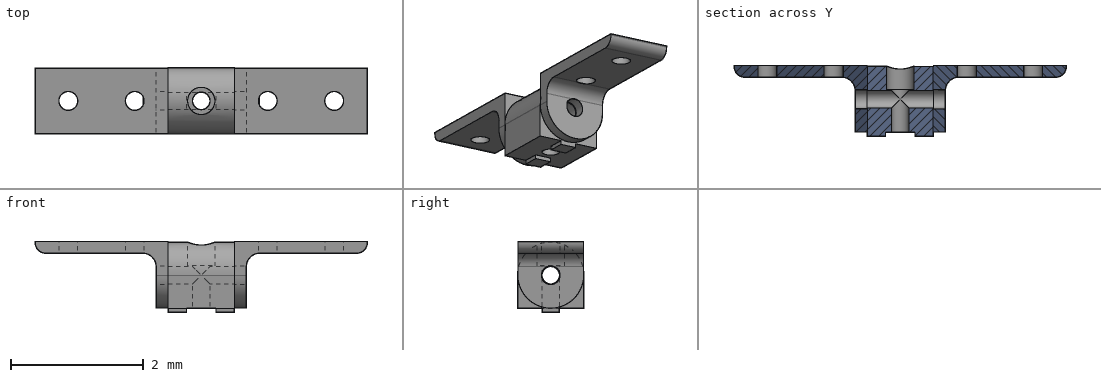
import cadquery as cq

total_length = 5.0

housing_length = 1.0
housing_width = 1.0
housing_bottom = -housing_width / 2
bore_diameter = 0.26
counterbore_diameter = 0.41
counterbore_floor = 0.15

tab_length = 0.28
tab_width = 0.26
tab_height = 0.06

arm_width = 0.99
arm_top = 0.51
arm_thickness = 0.18
inner_fillet = 0.2
tip_radius = 0.16
arm_hole_diameter = 0.28
arm_hole_positions = [1.0, 2.0]


def make_housing():
    """Square block with a half-round top, a lengthwise bore, a stepped vertical hole and two tabs."""
    radius = housing_width / 2
    half_length = housing_length / 2
    body = (
        cq.Workplane("YZ", origin=(-half_length, 0, 0))
        .moveTo(-radius, housing_bottom)
        .lineTo(radius, housing_bottom)
        .lineTo(radius, 0)
        .threePointArc((0, radius), (-radius, 0))
        .close()
        .extrude(housing_length)
    )

    tab_center = half_length - tab_length / 2
    for side in (-1, 1):
        tab = (
            cq.Workplane("XY", origin=(side * tab_center, 0, housing_bottom))
            .rect(tab_length, tab_width)
            .extrude(-tab_height)
        )
        body = body.union(tab)

    bore = cq.Workplane("YZ", origin=(-half_length, 0, 0)).circle(bore_diameter / 2).extrude(housing_length)

    vertical_hole = (
        cq.Workplane("XY", origin=(0, 0, housing_bottom)).circle(bore_diameter / 2).extrude(housing_width)
    )
    counterbore = (
        cq.Workplane("XY", origin=(0, 0, counterbore_floor))
        .circle(counterbore_diameter / 2)
        .extrude(radius - counterbore_floor)
    )
    return body.cut(bore).cut(vertical_hole).cut(counterbore)


def make_arm():
    """L-shaped bracket on the +X side: a round-bottomed flange with a perforated plate on top."""
    inner_x = housing_length / 2
    outer_x = inner_x + arm_thickness
    tip_x = total_length / 2
    plate_bottom = arm_top - arm_thickness
    half_width = arm_width / 2

    flange = (
        cq.Workplane("YZ", origin=(inner_x, 0, 0))
        .moveTo(-half_width, arm_top)
        .lineTo(-half_width, 0)
        .threePointArc((0, -half_width), (half_width, 0))
        .lineTo(half_width, arm_top)
        .close()
        .extrude(arm_thickness)
    )

    plate = (
        cq.Workplane("XZ", origin=(0, half_width, 0))
        .moveTo(inner_x, arm_top)
        .lineTo(tip_x, arm_top)
        .lineTo(tip_x, plate_bottom + tip_radius)
        .radiusArc((tip_x - tip_radius, plate_bottom), tip_radius)
        .lineTo(outer_x + inner_fillet, plate_bottom)
        .radiusArc((outer_x, plate_bottom - inner_fillet), -inner_fillet)
        .lineTo(inner_x, plate_bottom - inner_fillet)
        .close()
        .extrude(arm_width)
    )

    bore = cq.Workplane("YZ", origin=(inner_x, 0, 0)).circle(arm_hole_diameter / 2).extrude(arm_thickness)
    screw_holes = (
        cq.Workplane("XY", origin=(0, 0, plate_bottom))
        .pushPoints([(x, 0) for x in arm_hole_positions])
        .circle(arm_hole_diameter / 2)
        .extrude(arm_thickness)
    )
    return flange.union(plate).cut(bore).cut(screw_holes)


housing = make_housing()

arms = []
for angle in (0, 180):
    arm = make_arm().rotate((0, 0, 0), (0, 0, 1), angle)
    arms.append(arm.val())

result = cq.Compound.makeCompound([housing.val(), *arms])